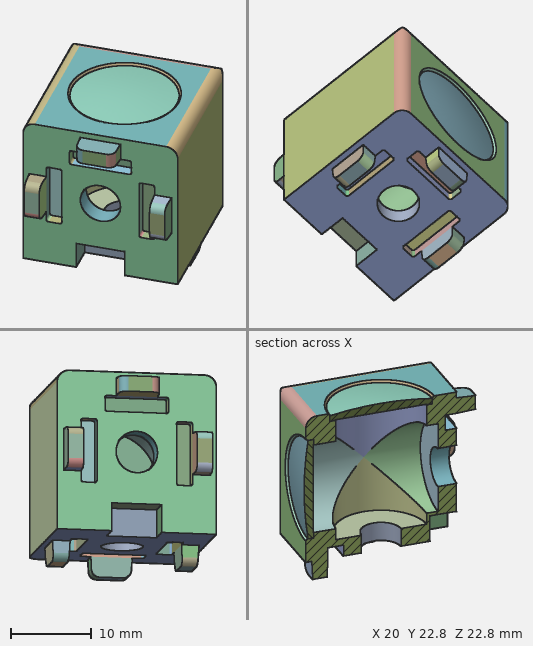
import cadquery as cq
import math


overall_size = 22.75
cube_size = 20.0
half_cube = cube_size / 2
edge_radius = 1.5

bore_diameter = 12.0
wall_thickness = 2.5

button_diameter = 13.5
button_mouth_diameter = 14.0
button_rim_recess = 0.3
button_rim_thickness = 0.75
seat_depth = button_rim_recess + button_rim_thickness
dome_top_height = 0.23

hole_diameter = 5.2
tab_height = overall_size - cube_size - dome_top_height
tab_base_length = 5.2
tab_base_thickness = 2.2
tab_draft_angle = 3.0
tab_corner_radius = 1.0
slot_length = 8.0
slot_width = 2.0
slot_depth = 1.5
slot_corner_radius = 0.3
slot_outer_offset = 7.0
slot_offset = slot_outer_offset - slot_width / 2
tab_offset = slot_outer_offset + tab_base_thickness / 2
notch_width = 6.25
notch_depth = 3.5

coupling_angles = (0, 90, -90)

coupling_planes = (
    cq.Plane(origin=(0, -half_cube, 0), xDir=(1, 0, 0), normal=(0, -1, 0)),
    cq.Plane(origin=(0, 0, -half_cube), xDir=(-1, 0, 0), normal=(0, 0, -1)),
)
button_planes = (
    cq.Plane(origin=(0, half_cube, 0), xDir=(1, 0, 0), normal=(0, 1, 0)),
    cq.Plane(origin=(0, 0, half_cube), xDir=(1, 0, 0), normal=(0, 0, 1)),
)


def placed(shape, plane):
    """Move a shape modelled on the XY plane onto a face plane."""
    return cq.Workplane(shape.val().moved(cq.Location(plane)))


def rounded_cube():
    """Cube with mitred rounds: three prisms, each with its own rounded edges, intersected."""
    prism = cq.Workplane().box(cube_size, cube_size, cube_size)
    along_x = prism.edges(">Y and >Z").fillet(edge_radius)
    along_y = prism.edges("|Y and >Z").fillet(edge_radius)
    along_z = prism.edges("|Z and >Y").fillet(edge_radius)
    return along_x.intersect(along_y).intersect(along_z)


def tab():
    """Drafted tab at the top of a coupling face, with the ends of its tip rounded."""
    return (
        cq.Workplane()
        .center(0, tab_offset)
        .rect(tab_base_length, tab_base_thickness)
        .extrude(tab_height, taper=tab_draft_angle)
        .faces(">Z")
        .edges("<X or >X")
        .fillet(tab_corner_radius)
    )


def slot():
    """Rounded pocket beside the tab at the top of a coupling face."""
    return (
        cq.Workplane()
        .center(0, slot_offset)
        .rect(slot_length, slot_width)
        .extrude(-slot_depth)
        .edges("|Z")
        .fillet(slot_corner_radius)
    )


def centre_hole():
    """Round hole through the wall in the middle of a coupling face."""
    return cq.Workplane().circle(hole_diameter / 2).extrude(-wall_thickness)


def shared_edge_notch():
    """Square-section notch across the edge that the two coupling faces share."""
    return cq.Workplane().box(notch_width, 2 * notch_depth, 2 * notch_depth).translate(
        (0, -half_cube, -half_cube)
    )


def button_bore():
    """Bore behind a button, with the button's seat and its tapered mouth."""
    bore = cq.Workplane().circle(bore_diameter / 2).extrude(-(cube_size - wall_thickness))
    seat = cq.Workplane().circle(button_diameter / 2).extrude(-seat_depth)
    mouth = (
        cq.Workplane()
        .circle(button_mouth_diameter / 2)
        .workplane(offset=-button_rim_recess)
        .circle(button_diameter / 2)
        .loft()
    )
    return bore.union(seat).union(mouth)


def make_button():
    """Round button with a spherical dome on a plain cylindrical rim."""
    radius = button_diameter / 2
    dome_rise = button_rim_recess + dome_top_height
    sphere_radius = (radius**2 + dome_rise**2) / (2 * dome_rise)
    mid_radius = radius / 2
    mid_height = dome_top_height - sphere_radius + math.sqrt(sphere_radius**2 - mid_radius**2)
    return (
        cq.Workplane("XZ")
        .moveTo(0, -seat_depth)
        .lineTo(radius, -seat_depth)
        .lineTo(radius, -button_rim_recess)
        .threePointArc((mid_radius, mid_height), (0, dome_top_height))
        .close()
        .revolve(360, (0, 0, 0), (0, 1, 0))
    )


def make_housing():
    """Hollow cube with its bores, coupling tabs, slots, holes and notch."""
    housing = rounded_cube().cut(shared_edge_notch())
    for plane in button_planes:
        housing = housing.cut(placed(button_bore(), plane))
    for plane in coupling_planes:
        housing = housing.cut(placed(centre_hole(), plane))
        for angle in coupling_angles:
            turned_slot = slot().rotate((0, 0, 0), (0, 0, 1), angle)
            turned_tab = tab().rotate((0, 0, 0), (0, 0, 1), angle)
            housing = housing.cut(placed(turned_slot, plane))
            housing = housing.union(placed(turned_tab, plane))
    return housing


housing = make_housing()
buttons = [placed(make_button(), plane) for plane in button_planes]

result = cq.Compound.makeCompound([housing.val(), *[button.val() for button in buttons]])